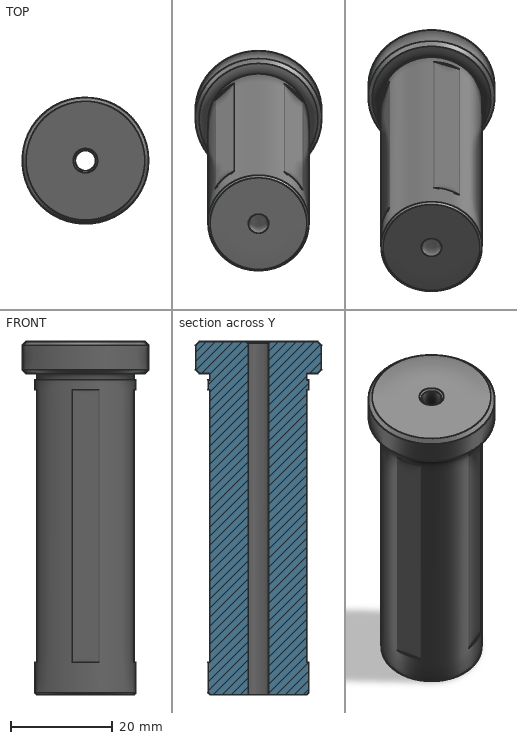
import cadquery as cq

total_length = 69.85
head_diameter = 25.0
head_height = 6.35
head_chamfer = 0.8

shank_diameter = 20.0
shank_chamfer = 0.4
neck_diameter = 19.3
neck_height = 1.25

bore_diameter = 4.0
bore_chamfer = 0.4
countersink_angle = 90

flat_count = 4
flat_distance = 9.65
flat_bottom = 6.5
flat_length = 53.8

head_bottom = total_length - head_height
shank_length = head_bottom - neck_height


def make_shank():
    shank = cq.Workplane("XY").circle(shank_diameter / 2).extrude(shank_length)
    return shank.faces("<Z").chamfer(shank_chamfer)


def make_neck():
    plane = cq.Workplane("XY").workplane(offset=shank_length)
    return plane.circle(neck_diameter / 2).extrude(neck_height)


def make_head():
    plane = cq.Workplane("XY").workplane(offset=head_bottom)
    head = plane.circle(head_diameter / 2).extrude(head_height)
    return head.faces("<Z or >Z").chamfer(head_chamfer)


def make_flat_cutter(angle):
    """Block that removes the shank beyond one flat."""
    cutter = cq.Workplane("XY").box(
        shank_diameter, shank_diameter, flat_length, centered=(False, True, False)
    )
    cutter = cutter.translate((flat_distance, 0, flat_bottom))
    return cutter.rotate((0, 0, 0), (0, 0, 1), angle)


shank = make_shank()
for index in range(flat_count):
    shank = shank.cut(make_flat_cutter(index * 360 / flat_count))

pin = shank.union(make_neck()).union(make_head())

result = pin.faces(">Z").workplane().cskHole(
    bore_diameter, bore_diameter + 2 * bore_chamfer, countersink_angle
)